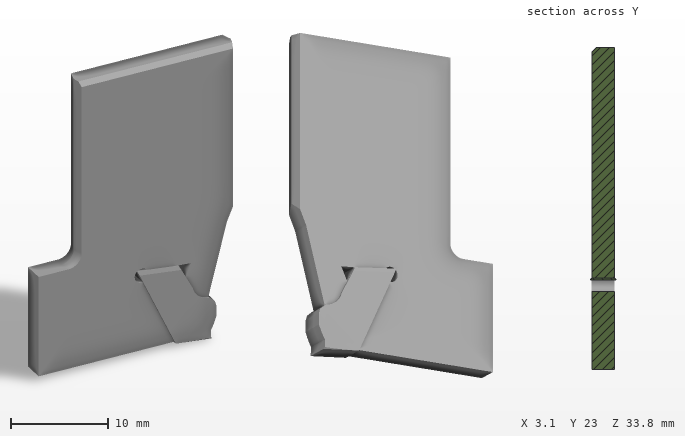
import cadquery as cq
import math


blade_thickness = 2.35
blade_top = 33.75
blade_bottom = 0.57
front_ridge_y = 22.98
front_ridge_bottom = 15.6
front_bevel_depth = 0.37
rear_ridge_y = 4.7
rear_bevel_depth = 0.3
foot_top = 12.25
foot_fillet = 1.5
top_chamfer = 0.47
nose_bend = (21.9, 13.1)
nose_end = (19.75, 4.82)

body_half_width = 1.42
tip_half_width = 1.55
tip = (19.97, 0.0)
heel = (15.82, 0.45)
back_corner = (11.4, 10.0)
front_corner = (16.23, 9.4)
waist_top = (17.8, 6.45)
waist_middle = (18.42, 5.4)
shoulder = (20.38, 4.3)
nose_upper = (20.55, 3.7)
nose_lower = (20.55, 2.53)
hollow_middle = (20.25, 1.75)
hollow_end = (19.87, 1.0)
tip_land = (19.87, 0.27)
flare_start = (20.38, 4.3)
top_bevel_height = 0.45
bottom_bevel_height = 0.17
bevel_depth = 0.15

window_corner = (17.78, 9.3)
window_bottom = (17.1, 7.83)
relief_center = (11.98, 9.3)
relief_radius = 0.8

cut_margin = 6.75
envelope_reach = 2 * cut_margin


def extrude_across(profile, half_width):
    """Extrude a closed YZ profile equally to both sides of X = 0."""
    return profile.extrude(half_width, both=True)


def make_bevel_wedge(ridge_y, depth, direction, bottom):
    """Tool that leaves a vertical ridge at X = 0; direction points out of the blade along Y."""
    half = blade_thickness / 2
    outside_y = ridge_y + direction * cut_margin
    side_y = ridge_y - direction * depth
    return (
        cq.Workplane("XY")
        .workplane(offset=bottom)
        .polyline([(-half, side_y), (0, ridge_y), (half, side_y), (half, outside_y), (-half, outside_y)])
        .close()
        .extrude(blade_top - bottom)
    )


def make_insert_prism():
    """Insert outline extruded to the full tip width."""
    profile = (
        cq.Workplane("YZ")
        .moveTo(*tip)
        .lineTo(*heel)
        .lineTo(*back_corner)
        .lineTo(*front_corner)
        .lineTo(*waist_top)
        .threePointArc(waist_middle, nose_end)
        .lineTo(*shoulder)
        .lineTo(*nose_upper)
        .lineTo(*nose_lower)
        .threePointArc(hollow_middle, hollow_end)
        .lineTo(*tip_land)
        .close()
    )
    return extrude_across(profile, tip_half_width)


def line_plane(start, end):
    """Plane square to a line in the YZ plane; local x is X and local y is the height above the line.

    Its origin lies before the line's start, so a tool extruded from it overruns both ends.
    """
    length = math.dist(start, end)
    along = cq.Vector(0, (end[0] - start[0]) / length, (end[1] - start[1]) / length)
    origin = cq.Vector(0, *start) - along * cut_margin
    return cq.Plane(origin=origin, xDir=(1, 0, 0), normal=along)


def make_straight_envelope(start, end, section):
    """Sweep a section along a line; section holds (half width, height) points, mirrored about X = 0."""
    mirrored = [(-width, height) for width, height in reversed(section)]
    return (
        cq.Workplane(line_plane(start, end))
        .polyline(section + mirrored)
        .close()
        .extrude(math.dist(start, end) + 2 * cut_margin)
    )


def make_flare_envelope():
    """Parallel sides that curve smoothly outward below the flare line to the full tip width."""
    length = math.dist(flare_start, heel)
    run = (heel[0] - flare_start[0], heel[1] - flare_start[1])
    tip_drop = abs(run[0] * (tip[1] - flare_start[1]) - run[1] * (tip[0] - flare_start[0])) / length
    flare_drop = tip_drop - bottom_bevel_height
    return (
        cq.Workplane(line_plane(flare_start, heel))
        .moveTo(body_half_width, envelope_reach)
        .lineTo(body_half_width, 0)
        .tangentArcPoint((tip_half_width, -flare_drop), relative=False)
        .lineTo(tip_half_width, -envelope_reach)
        .lineTo(0, -envelope_reach)
        .lineTo(0, envelope_reach)
        .close()
        .extrude(length + 2 * cut_margin)
        .mirror("YZ", union=True)
    )


def make_insert(prism):
    """Parallel-sided shank with a flared tip and bevelled top and bottom side edges."""
    top_section = [
        (tip_half_width, -envelope_reach),
        (tip_half_width, -top_bevel_height),
        (body_half_width, -top_bevel_height),
        (body_half_width - bevel_depth, 0),
    ]
    bottom_section = [
        (tip_half_width - bevel_depth, 0),
        (tip_half_width, bottom_bevel_height),
        (tip_half_width, envelope_reach),
    ]
    return (
        prism.intersect(make_flare_envelope())
        .intersect(make_straight_envelope(front_corner, back_corner, top_section))
        .intersect(make_straight_envelope(tip, heel, bottom_section))
    )


def make_pocket_clearance():
    """Triangular window ahead of the insert and round relief at its back corner."""
    window = extrude_across(
        cq.Workplane("YZ").polyline([window_corner, window_bottom, front_corner]).close(),
        blade_thickness,
    )
    relief = extrude_across(
        cq.Workplane("YZ").center(*relief_center).circle(relief_radius),
        blade_thickness,
    )
    return window.union(relief)


def make_blade(insert_prism):
    half = blade_thickness / 2
    outline = [
        (0, blade_bottom),
        (0, foot_top),
        (rear_ridge_y, foot_top),
        (rear_ridge_y, blade_top),
        (front_ridge_y, blade_top),
        (front_ridge_y, front_ridge_bottom),
        nose_bend,
        nose_end,
        (heel[0], blade_bottom),
    ]
    blade = extrude_across(cq.Workplane("YZ").polyline(outline).close(), half)

    blade = blade.cut(make_bevel_wedge(front_ridge_y, front_bevel_depth, 1, nose_end[1]))
    blade = blade.cut(make_bevel_wedge(rear_ridge_y, rear_bevel_depth, -1, foot_top))

    corner_box = cq.selectors.BoxSelector(
        (-half, rear_ridge_y - rear_bevel_depth, foot_top - rear_bevel_depth),
        (half, rear_ridge_y + 2 * rear_bevel_depth, foot_top + rear_bevel_depth),
    )
    blade = blade.edges(corner_box).fillet(foot_fillet)

    chamfer_tool = (
        cq.Workplane("XZ")
        .polyline([(half - top_chamfer, blade_top), (half, blade_top), (half, blade_top - top_chamfer)])
        .close()
        .extrude(-front_ridge_y)
    )
    blade = blade.cut(chamfer_tool)

    return blade.cut(insert_prism).cut(make_pocket_clearance())


insert_prism = make_insert_prism()
insert = make_insert(insert_prism)
blade = make_blade(insert_prism)

result = cq.Compound.makeCompound([*blade.solids().vals(), *insert.solids().vals()])